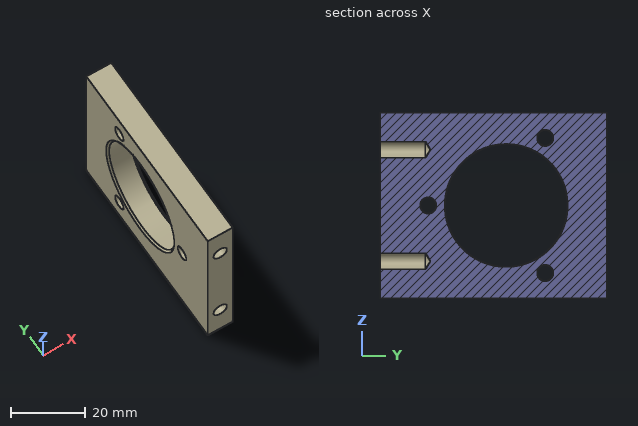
import cadquery as cq
import math

thickness = 8.0
length = 61.0
height = 50.0

bore_y = 3.4
bore_diameter = 33.0
bore_chamfer = 0.6

bolt_hole_count = 3
bolt_circle_radius = 21.0
bolt_hole_diameter = 4.3

edge_hole_spacing = 30.0
edge_hole_diameter = 4.3
edge_hole_depth = 12.2
drill_point_angle = 118.0


def cross_hole(diameter, y, z):
    """Cylinder running along X through the full plate thickness."""
    start = cq.Vector(-thickness / 2, y, z)
    return cq.Solid.makeCylinder(diameter / 2, thickness, start, cq.Vector(1, 0, 0))


def bore_mouth_cone(side):
    """Conical cutter for the bore chamfer on the -X (side = -1) or +X (side = 1) face."""
    bore_radius = bore_diameter / 2
    mouth = cq.Vector(side * thickness / 2, bore_y, 0)
    inward = cq.Vector(-side, 0, 0)
    return cq.Solid.makeCone(bore_radius + bore_chamfer, bore_radius, bore_chamfer, mouth, inward)


def edge_hole(z):
    """Blind hole along +Y with a conical drill point."""
    radius = edge_hole_diameter / 2
    point_length = radius / math.tan(math.radians(drill_point_angle / 2))
    inward = cq.Vector(0, 1, 0)
    mouth = cq.Vector(0, -length / 2, z)
    shank_end = mouth + inward * edge_hole_depth
    shank = cq.Solid.makeCylinder(radius, edge_hole_depth, mouth, inward)
    point = cq.Solid.makeCone(radius, 0, point_length, shank_end, inward)
    return shank.fuse(point)


result = cq.Workplane("XY").box(thickness, length, height)
result = result.cut(cross_hole(bore_diameter, bore_y, 0))
for side in (-1, 1):
    result = result.cut(bore_mouth_cone(side))

for index in range(bolt_hole_count):
    angle = math.pi + index * 2 * math.pi / bolt_hole_count
    hole_y = bore_y + bolt_circle_radius * math.cos(angle)
    hole_z = bolt_circle_radius * math.sin(angle)
    result = result.cut(cross_hole(bolt_hole_diameter, hole_y, hole_z))

for side in (-1, 1):
    result = result.cut(edge_hole(side * edge_hole_spacing / 2))